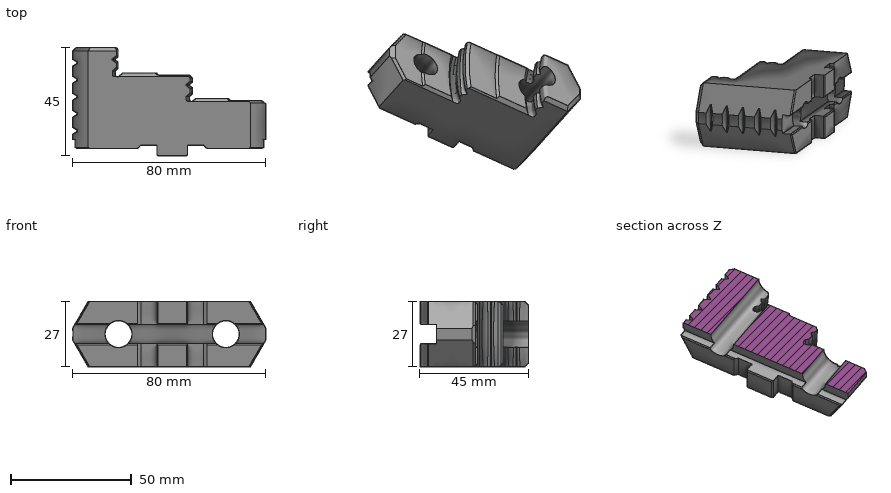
import cadquery as cq
import math


length = 80.0
height = 45.0
width = 27.0
half_width = width / 2
tip_half_width = 2.4
nose_radius = 24.8
flank_angle = math.radians(60)
top_chamfer = 1.6
foot_chamfer = 0.6
nose_hollow = nose_radius - math.sqrt(nose_radius**2 - tip_half_width**2)
flank_run = (half_width - tip_half_width) / math.tan(flank_angle)

middle_x = 41.2
foot_y = 3.0
tenon_width = 12.7
tenon_chamfer = 0.5
relief_width = 25.9
relief_depth = 1.4
slot_width = 7.9
slot_top_y = 6.8
mouth_chamfer = 0.5
hole_diameter = 11.0
hole_spacing = 44.4

first_wall_x = 19.0
first_pad_y = 34.4
first_rim_y = 33.4
first_pad_length = 16.6
first_pad_chamfer = 1.6
second_wall_x = 49.6
second_pad_y = 23.8
second_rim_y = 23.0
second_pad_length = 15.8
second_pad_chamfer = 1.3
wall_radius = 96.0
top_corner_radius = 1.5
middle_corner_chamfer = 1.2
flank_end_chamfer = 1.0
nose_bevel_x = 2.0
nose_bevel_y = 1.5

groove_radius = 64.0
wall_groove_height = 5.5
wall_groove_depth = 1.2
wall_groove_half = 1.1
wall_groove_flat = 0.3
undercut_depth = 1.1
undercut_lip = 1.8
undercut_corner = 0.9
undercut_floor_reach = 1.3
nose_groove_first_y = 10.4
nose_groove_pitch = 7.0
nose_groove_count = 5
nose_groove_depth = 2.3
nose_groove_half = 1.4
nose_groove_flat = 0.4

clearance = 1.6
sweep_angle = 40.0


def turned(profile, axis_x):
    """Turn a closed XY profile about the line x = axis_x, evenly to both sides of the middle plane."""
    ring = profile.revolve(sweep_angle, (axis_x, 0, 0), (axis_x, 1, 0))
    return ring.rotate((axis_x, 0, 0), (axis_x, 1, 0), -sweep_angle / 2)


def block():
    """Six-sided bar standing on the foot face, with one hollow nose, one flat nose and bevelled ends."""
    outline = (
        cq.Workplane("XZ", origin=(0, foot_y, 0))
        .moveTo(flank_run, half_width)
        .lineTo(length - flank_run, half_width)
        .lineTo(length, tip_half_width)
        .lineTo(length, -tip_half_width)
        .lineTo(length - flank_run, -half_width)
        .lineTo(flank_run, -half_width)
        .lineTo(0, -tip_half_width)
        .threePointArc((nose_hollow, 0), (0, tip_half_width))
        .close()
    )
    bar = outline.extrude(foot_y - height)
    bar = bar.faces(">Y").edges().chamfer(top_chamfer)
    return bar.faces("<Y").edges("%LINE and (not |X) and (not |Z)").chamfer(foot_chamfer)


def step_clearance(wall_x, step_top_y, corner_size, corner_is_round, pad_length, pad_y, rim_y):
    """Space in front of a gripping wall, above its pad and rim."""
    pad_end_x = wall_x + pad_length
    outer_x = length + clearance
    upper_y = height + clearance
    profile = cq.Workplane("XY").moveTo(wall_x, pad_y).lineTo(wall_x, step_top_y - corner_size)
    corner_end = (wall_x - corner_size, step_top_y)
    if corner_is_round:
        inset = corner_size * (1 - math.sqrt(0.5))
        profile = profile.threePointArc((wall_x - inset, step_top_y - inset), corner_end)
    else:
        profile = profile.lineTo(*corner_end)
    profile = (
        profile.lineTo(corner_end[0], upper_y)
        .lineTo(outer_x, upper_y)
        .lineTo(outer_x, rim_y)
        .lineTo(pad_end_x, rim_y)
        .lineTo(pad_end_x - (pad_y - rim_y), pad_y)
        .close()
    )
    return turned(profile, wall_x - wall_radius)


def undercut(wall_x, pad_y, floor_depth):
    """Relief at the foot of a gripping wall, rising at 45 degrees to the pad."""
    back_x = wall_x - undercut_depth
    lip_y = pad_y + undercut_lip
    floor_y = pad_y - floor_depth
    floor_end_x = wall_x + undercut_floor_reach
    inset = undercut_corner * (1 - math.sqrt(0.5))
    profile = (
        cq.Workplane("XY")
        .moveTo(wall_x + clearance, lip_y + clearance)
        .lineTo(back_x, lip_y - undercut_depth)
        .lineTo(back_x, floor_y + undercut_corner)
        .threePointArc((back_x + inset, floor_y + inset), (back_x + undercut_corner, floor_y))
        .lineTo(floor_end_x, floor_y)
        .lineTo(floor_end_x + floor_depth + clearance, pad_y + clearance)
        .close()
    )
    return turned(profile, wall_x - groove_radius)


def grip_groove(axis_x, face_x, inward, mid_y, depth, half_height, half_flat):
    """Flat-bottomed V groove curved about axis_x; inward is +1 or -1, the X direction into the jaw."""
    slope = (half_height - half_flat) / depth
    mouth_half = half_height + slope * clearance
    bottom_x = face_x + inward * depth
    mouth_x = face_x - inward * clearance
    profile = (
        cq.Workplane("XY")
        .moveTo(mouth_x, mid_y - mouth_half)
        .lineTo(bottom_x, mid_y - half_flat)
        .lineTo(bottom_x, mid_y + half_flat)
        .lineTo(mouth_x, mid_y + mouth_half)
        .close()
    )
    return turned(profile, axis_x)


def pad_edge_bevels(wall_x, pad_y, size):
    """Pair of 45 degree wedges along both long edges of a step."""
    wedge = (
        cq.Workplane("YZ", origin=(wall_x, 0, 0))
        .moveTo(pad_y - size, half_width)
        .lineTo(pad_y + clearance, half_width - size - clearance)
        .lineTo(pad_y + clearance, half_width)
        .close()
        .extrude(length - wall_x)
    )
    return wedge.union(wedge.mirror("XY"))


def nose_bevel():
    """Wedge that takes off the upper corner of the low nose."""
    return (
        cq.Workplane("XY")
        .moveTo(length - nose_bevel_x, second_rim_y)
        .lineTo(length, second_rim_y)
        .lineTo(length, second_rim_y - nose_bevel_y)
        .close()
        .extrude(half_width, both=True)
    )


def foot_relief():
    """Shallow recess across the foot face, with sloping ends."""
    half = relief_width / 2
    top_y = foot_y + relief_depth
    return (
        cq.Workplane("XY")
        .moveTo(middle_x - half - relief_depth, foot_y)
        .lineTo(middle_x - half, top_y)
        .lineTo(middle_x + half, top_y)
        .lineTo(middle_x + half + relief_depth, foot_y)
        .close()
        .extrude(half_width, both=True)
    )


def tenon():
    """Cross key that stands below the foot face, with bevelled lower edges."""
    tenon_height = foot_y + relief_depth
    key = cq.Workplane("XY").box(tenon_width, tenon_height, width)
    key = key.faces("<Y").edges("|Z").chamfer(tenon_chamfer)
    return key.translate((middle_x, tenon_height / 2, 0))


def slot():
    """Lengthwise slot that splits the tenon and runs out through both noses."""
    return cq.Workplane("XY").box(length, slot_top_y, slot_width).translate((length / 2, slot_top_y / 2, 0))


def slot_mouth(start_x, end_x, face_y):
    """45 degree flare of the slot where it opens on a face at face_y."""
    half = slot_width / 2
    return (
        cq.Workplane("YZ", origin=(start_x, 0, 0))
        .moveTo(face_y, -half - mouth_chamfer)
        .lineTo(face_y, half + mouth_chamfer)
        .lineTo(face_y + mouth_chamfer, half)
        .lineTo(face_y + mouth_chamfer, -half)
        .close()
        .extrude(end_x - start_x)
    )


def bolt_holes():
    """Two clearance holes right through the jaw along Y."""
    return (
        cq.Workplane("XZ")
        .pushPoints([(middle_x - hole_spacing / 2, 0), (middle_x + hole_spacing / 2, 0)])
        .circle(hole_diameter / 2)
        .extrude(-height)
    )


jaw = block()

jaw = jaw.cut(step_clearance(first_wall_x, height, top_corner_radius, True,
                             first_pad_length, first_pad_y, first_rim_y))
jaw = jaw.cut(step_clearance(second_wall_x, first_rim_y, middle_corner_chamfer, False,
                             second_pad_length, second_pad_y, second_rim_y))
end_edges = cq.selectors.BoxSelector(
    (length - flank_run, second_rim_y - clearance, -half_width),
    (length, second_rim_y + clearance, half_width),
)
jaw = jaw.edges(end_edges).edges("not |Z").chamfer(flank_end_chamfer)
jaw = jaw.cut(nose_bevel())

for wall_x, pad_y, bevel in (
    (first_wall_x, first_pad_y, first_pad_chamfer),
    (second_wall_x, second_pad_y, second_pad_chamfer),
):
    jaw = jaw.cut(undercut(wall_x, pad_y, bevel))
    jaw = jaw.cut(grip_groove(wall_x - groove_radius, wall_x, -1, pad_y + wall_groove_height,
                              wall_groove_depth, wall_groove_half, wall_groove_flat / 2))
    jaw = jaw.cut(pad_edge_bevels(wall_x, pad_y, bevel))

for index in range(nose_groove_count):
    groove_y = nose_groove_first_y + index * nose_groove_pitch
    jaw = jaw.cut(grip_groove(nose_hollow - nose_radius, nose_hollow, 1, groove_y,
                              nose_groove_depth, nose_groove_half, nose_groove_flat / 2))

relief_start_x = middle_x - relief_width / 2 - relief_depth
relief_end_x = middle_x + relief_width / 2 + relief_depth
jaw = jaw.cut(foot_relief()).union(tenon()).cut(slot())
jaw = jaw.cut(slot_mouth(0, relief_start_x, foot_y))
jaw = jaw.cut(slot_mouth(relief_end_x, length, foot_y))
jaw = jaw.cut(slot_mouth(middle_x - tenon_width / 2, middle_x + tenon_width / 2, 0))
jaw = jaw.cut(bolt_holes())

result = jaw